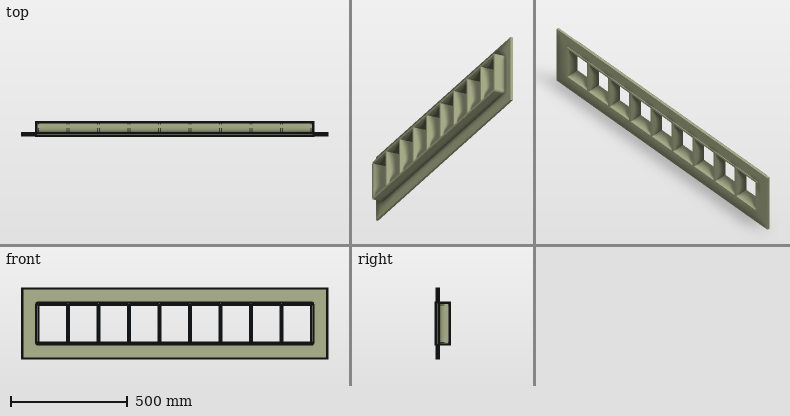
import cadquery as cq

flange_length = 1305.0
flange_height = 300.0
flange_thickness = 10.0
flange_margin = 60.0

box_depth = 60.0
front_projection = 3.0
corner_radius = 10.0
box_length = flange_length - 2 * flange_margin
box_height = flange_height - 2 * flange_margin

opening_count = 9
wall = 10.0
opening_pitch = (box_length - wall) / opening_count
opening_length = opening_pitch - wall
opening_height = box_height - 2 * wall


def block(length, depth, height, front):
    """Block centred in X and Z whose front face lies at the given Y."""
    return cq.Workplane("XY").box(length, depth, height).translate((0, front + depth / 2, 0))


flange = block(flange_length, flange_thickness, flange_height, front_projection)

sleeve = block(box_length, box_depth, box_height, 0).edges("|Y").fillet(corner_radius)

openings = (
    cq.Workplane("XZ")
    .rarray(opening_pitch, 13, opening_count, 1)
    .rect(opening_length, opening_height)
    .extrude(-box_depth)
)

result = flange.union(sleeve).cut(openings)